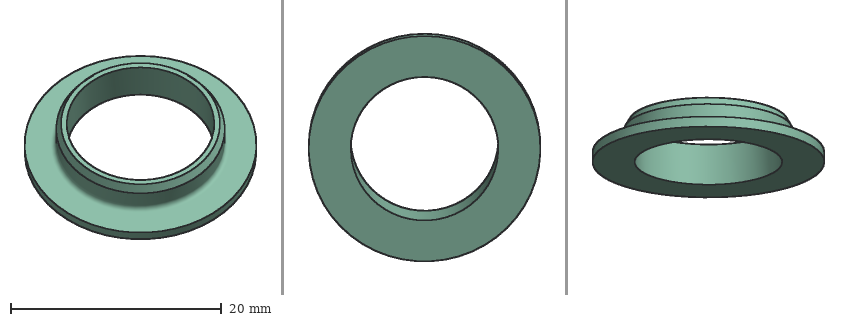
import cadquery as cq
import math

flange_diameter = 22.0
flange_thickness = 1.0
sleeve_diameter = 16.0
bore_diameter = 14.0
total_height = 4.0
root_fillet_radius = 0.5
lead_in_height = 0.8
lead_in_angle = 30.0
lead_in_width = lead_in_height * math.tan(math.radians(lead_in_angle))

bore_radius = bore_diameter / 2
flange_radius = flange_diameter / 2
sleeve_radius = sleeve_diameter / 2
fillet_top = flange_thickness + root_fillet_radius
fillet_center = (sleeve_radius + root_fillet_radius, fillet_top)
fillet_mid_offset = root_fillet_radius * math.sqrt(0.5)
fillet_midpoint = (fillet_center[0] - fillet_mid_offset, fillet_center[1] - fillet_mid_offset)

half_section = (
    cq.Workplane("XZ")
    .moveTo(bore_radius, 0)
    .lineTo(flange_radius, 0)
    .lineTo(flange_radius, flange_thickness)
    .lineTo(fillet_center[0], flange_thickness)
    .threePointArc(fillet_midpoint, (sleeve_radius, fillet_top))
    .lineTo(sleeve_radius, total_height - lead_in_height)
    .lineTo(sleeve_radius - lead_in_width, total_height)
    .lineTo(bore_radius, total_height)
    .close()
)

result = half_section.revolve(360, (0, 0, 0), (0, 1, 0))